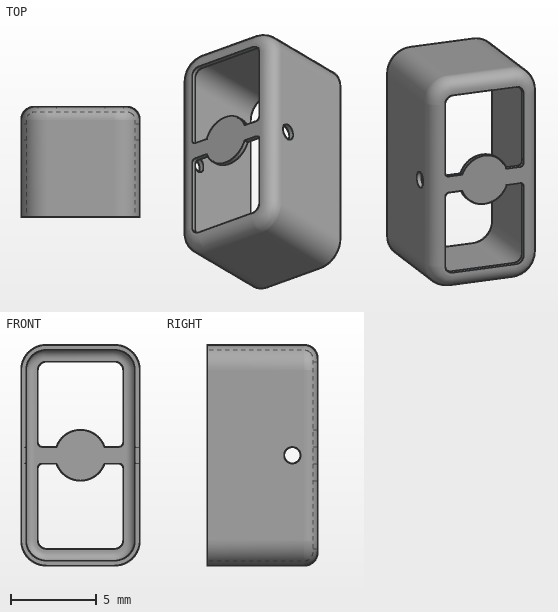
import cadquery as cq

height = 13.0
width = 7.0
depth = 6.5
wall = 0.3
corner_radius = 1.5
back_edge_radius = 0.8

opening_width = 5.0
opening_height = 11.0
opening_outer_radius = 0.5
opening_bar_radius = 0.25
bar_height = 1.0
disc_diameter = 3.0

pin_diameter = 0.95
pin_from_back = 1.5

back_y = depth / 2


def rounded_block(inset, front_y):
    """Block inset from the outside, with rounded long edges and back rim."""
    length = back_y - inset - front_y
    return (
        cq.Workplane("XY")
        .box(width - 2 * inset, length, height - 2 * inset)
        .translate((0, front_y + length / 2, 0))
        .edges("|Y")
        .fillet(corner_radius - inset)
        .faces(">Y")
        .edges()
        .fillet(back_edge_radius - inset)
    )


def back_opening(side):
    """Cutter for the opening above (side=1) or below (side=-1) the bar."""
    opening_length = (opening_height - bar_height) / 2
    center_z = side * (bar_height + opening_length) / 2
    outer_edges, bar_edges = (">Z", "<Z") if side > 0 else ("<Z", ">Z")
    return (
        cq.Workplane("XY")
        .box(opening_width, 4 * wall, opening_length)
        .translate((0, back_y, center_z))
        .faces(outer_edges)
        .edges("|Y")
        .fillet(opening_outer_radius)
        .faces(bar_edges)
        .edges("|Y")
        .fillet(opening_bar_radius)
    )


shell = rounded_block(0, -back_y).cut(rounded_block(wall, -back_y))

disc = (
    cq.Workplane("XZ", origin=(0, back_y, 0))
    .circle(disc_diameter / 2)
    .extrude(4 * wall, both=True)
)
for side in (1, -1):
    shell = shell.cut(back_opening(side).cut(disc))

pin_hole = (
    cq.Workplane("YZ", origin=(0, back_y - pin_from_back, 0))
    .circle(pin_diameter / 2)
    .extrude(width, both=True)
)
result = shell.cut(pin_hole)